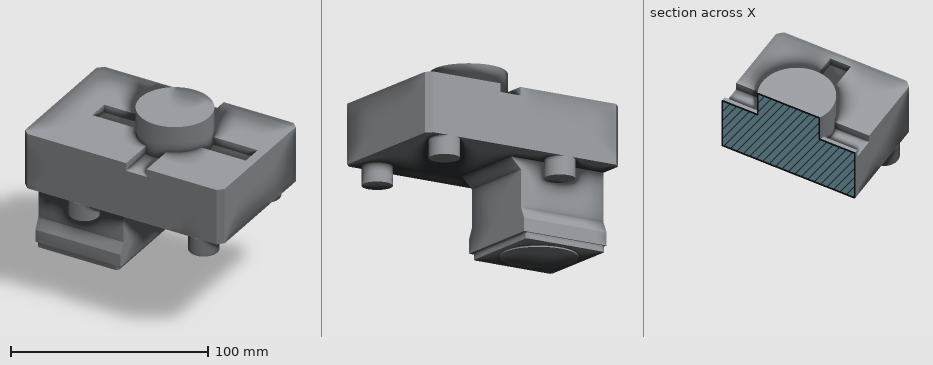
import cadquery as cq

block_length = 117.0
block_width = 77.5
block_height = 32.0
block_corner_chamfer = 3.0

boss_diameter = 40.0
boss_height = 15.0
boss_x = 67.0
keyway_width = 12.0
keyway_depth = 4.5
long_keyway_length = 90.0

pin_diameter = 16.0
pin_length = 10.0
pin_first_x = 32.0
pin_spacing_x = 70.0
pin_spacing_y = 62.0

leg_length = 50.0
neck_width = 45.2
foot_width = 51.0
shoulder_top_depth = 26.0
shoulder_bottom_depth = 32.0
foot_bottom_depth = 39.0
gusset_size = 6.0

cover_start_x = 0.5
cover_length = 47.5
cover_width = 49.5
cover_thickness = 3.3
cover_corner_chamfer = 1.0
pad_diameter = 40.0
pad_thickness = 0.7


def plate(length, width, height, corner_chamfer, start_x, bottom_z):
    """Rectangular plate centred on Y = 0 with chamfered vertical corners."""
    return (
        cq.Workplane("XY")
        .box(length, width, height, centered=(False, True, False))
        .edges("|Z")
        .chamfer(corner_chamfer)
        .translate((start_x, 0, bottom_z))
    )


def cylinder(diameter, height, x, y, bottom_z):
    """Upright cylinder standing on the given height."""
    return (
        cq.Workplane("XY", origin=(x, y, bottom_z))
        .circle(diameter / 2)
        .extrude(height)
    )


def keyways():
    """Crossing keyways: a blind one along X and a through one along Y."""
    floor = cq.Workplane("XY", origin=(boss_x, 0, block_height - keyway_depth))
    along_x = floor.rect(long_keyway_length, keyway_width).extrude(keyway_depth)
    along_y = floor.rect(keyway_width, block_width).extrude(keyway_depth)
    return along_x.union(along_y)


def boss():
    """Round boss rising from the keyway floor through the top of the block."""
    return cylinder(
        boss_diameter, keyway_depth + boss_height, boss_x, 0, block_height - keyway_depth
    )


def pins():
    """Four pins hanging from the bottom of the block."""
    corners = cq.Workplane("XY").rect(pin_spacing_x, pin_spacing_y, forConstruction=True)
    centre_x = pin_first_x + pin_spacing_x / 2
    return corners.vertices().circle(pin_diameter / 2).extrude(-pin_length).translate((centre_x, 0, 0))


def leg():
    """Neck, shoulder and foot swept along X from the left face."""
    return (
        cq.Workplane("YZ")
        .moveTo(-neck_width / 2, 0)
        .lineTo(-neck_width / 2, -shoulder_top_depth)
        .lineTo(-foot_width / 2, -shoulder_bottom_depth)
        .lineTo(-foot_width / 2, -foot_bottom_depth)
        .lineTo(foot_width / 2, -foot_bottom_depth)
        .lineTo(foot_width / 2, -shoulder_bottom_depth)
        .lineTo(neck_width / 2, -shoulder_top_depth)
        .lineTo(neck_width / 2, 0)
        .close()
        .extrude(leg_length)
    )


def gusset():
    """Triangular gusset filling the corner between the neck and the block."""
    return (
        cq.Workplane("XZ")
        .moveTo(leg_length, 0)
        .lineTo(leg_length + gusset_size, 0)
        .lineTo(leg_length, -gusset_size)
        .close()
        .extrude(neck_width / 2, both=True)
    )


cover_bottom = -foot_bottom_depth - cover_thickness
block = plate(block_length, block_width, block_height, block_corner_chamfer, 0, 0)
cover = plate(
    cover_length, cover_width, cover_thickness, cover_corner_chamfer, cover_start_x, cover_bottom
)
pad_x = cover_start_x + cover_length / 2
pad = cylinder(pad_diameter, pad_thickness, pad_x, 0, cover_bottom - pad_thickness)

result = (
    block.cut(keyways())
    .union(boss())
    .union(leg())
    .union(gusset())
    .union(pins())
    .union(cover)
    .union(pad)
)